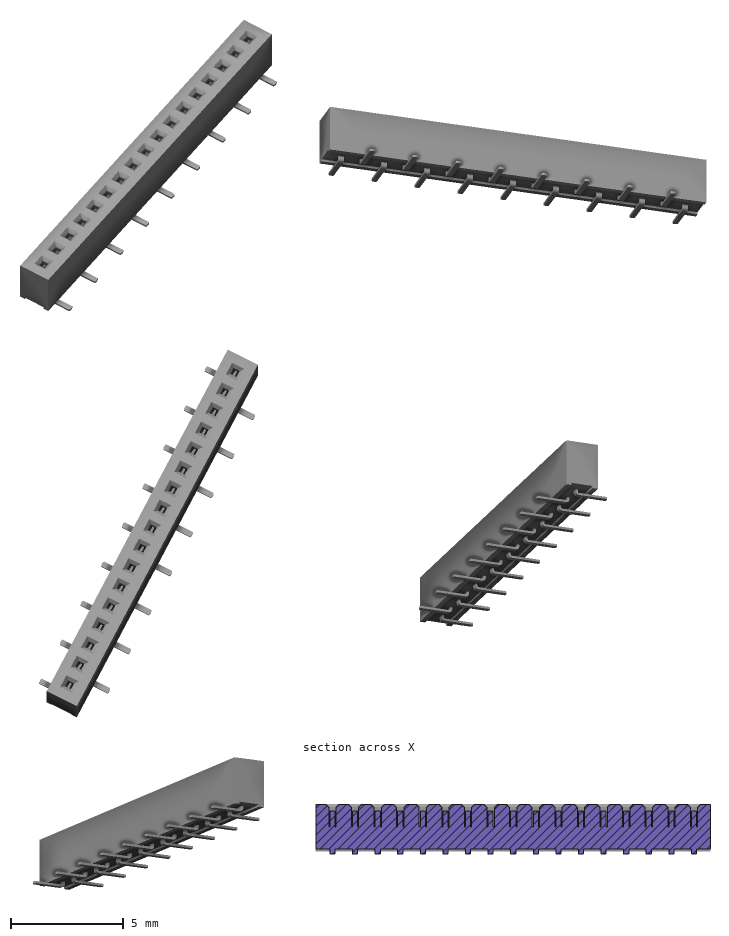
import cadquery as cq

pin_count = 17
pitch = 1.0
body_width = 1.5
body_length = (pin_count + 0.5) * pitch
total_height = 2.25
body_bottom = 0.15

channel_width = 1.0
channel_depth = 0.1

funnel_mouth = 0.6
shaft_size = funnel_mouth / 2
funnel_depth = (funnel_mouth - shaft_size) / 2
shaft_depth = 0.85
shaft_floor = total_height - funnel_depth - shaft_depth

strip_thickness = 0.1
strip_width = 0.25
contact_recess = 0.3
contact_top = total_height - contact_recess
outer_bend_radius = 0.15
inner_bend_radius = outer_bend_radius - strip_thickness
lead_reach = 2.95 / 2
lead_end_bulge = 0.03


def make_housing():
    """Plain bar with the channel along its underside."""
    base = cq.Workplane("XY", origin=(0, 0, body_bottom))
    bottom_centred = (True, True, False)
    body = base.box(body_width, body_length, total_height - body_bottom, centered=bottom_centred)
    channel = base.box(channel_width, body_length, channel_depth, centered=bottom_centred)
    return body.cut(channel)


def make_socket(y):
    """Funnel and shaft to be removed from the housing."""
    funnel = (
        cq.Workplane("XY", origin=(0, y, total_height))
        .rect(funnel_mouth, funnel_mouth)
        .workplane(offset=-funnel_depth)
        .rect(shaft_size, shaft_size)
        .loft(ruled=True)
    )
    shaft = cq.Workplane("XY", origin=(0, y, shaft_floor)).box(
        shaft_size, shaft_size, shaft_depth, centered=(True, True, False)
    )
    return funnel.union(shaft)


def make_contact(y, side):
    """Upright strip bent into a flat lead with a slightly bulged end; side is +1 or -1 along X."""
    inner_face = side * strip_thickness / 2
    outer_face = -inner_face
    bend_end = outer_face + side * outer_bend_radius
    lead_tip = side * lead_reach
    profile = (
        cq.Workplane("XZ", origin=(0, y + strip_width / 2, 0))
        .moveTo(outer_face, contact_top)
        .lineTo(outer_face, outer_bend_radius)
        .radiusArc((bend_end, 0), -side * outer_bend_radius)
        .lineTo(lead_tip, 0)
        .lineTo(lead_tip, strip_thickness)
        .lineTo(bend_end, strip_thickness)
        .radiusArc((inner_face, outer_bend_radius), side * inner_bend_radius)
        .lineTo(inner_face, contact_top)
        .close()
        .extrude(strip_width)
    )
    shoulder = lead_tip - side * lead_end_bulge
    plan = (
        cq.Workplane("XY", origin=(0, y, 0))
        .moveTo(outer_face, -strip_width / 2)
        .lineTo(shoulder, -strip_width / 2)
        .threePointArc((lead_tip, 0), (shoulder, strip_width / 2))
        .lineTo(outer_face, strip_width / 2)
        .close()
        .extrude(contact_top)
    )
    return profile.intersect(plan)


result = make_housing()
for index in range(pin_count):
    pin_y = (index - (pin_count - 1) / 2) * pitch
    lead_side = 1 if index % 2 == 0 else -1
    result = result.cut(make_socket(pin_y)).union(make_contact(pin_y, lead_side))